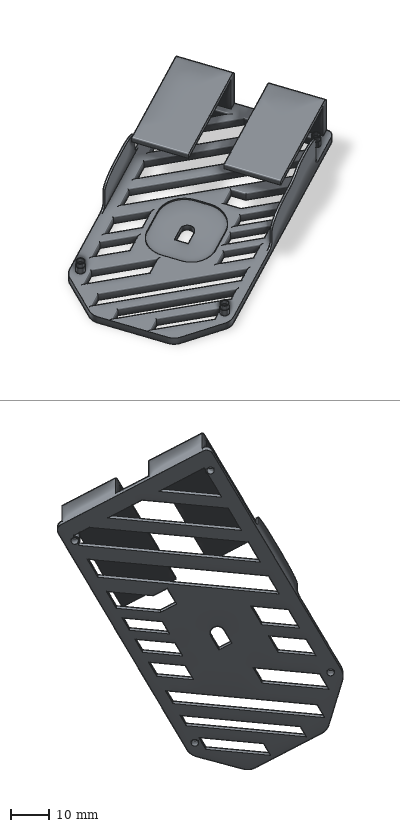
import cadquery as cq
import math

width = 46.0
length = 84.0
plate_height = 2.35
front_clip = 11.4
front_radius = 4.2
back_radius = 1.85

total_height = 15.0
clip_width = 16.0
clip_gap = 9.9
clip_reach = 32.4
post_depth = 2.35
arm_thickness = 1.5
clip_bend_radius = 1.85
arm_tip_radius = 0.5

wall_thickness = 0.6
wall_foot_radius = 2.0
low_wall_top = 12.0
high_wall_top = 14.1
left_wall_back = 57.9
left_wall_front = 36.6
left_round_length = 8.0
left_round_drop = 3.2
right_wall_back = 71.2
right_wall_front = 40.3
right_back_round_length = 6.1
right_back_round_drop = 2.3
right_front_round_length = 9.7
right_front_round_drop = 4.1
right_step_back = 61.9
right_step_front = 53.3

pin_x = 20.25
pin_front_y = 13.8
pin_back_y = 78.3
pin_base_diameter = 2.6
pin_tip_diameter = 2.35
pin_bore_diameter = 1.9
pin_shoulder_z = 4.4
pin_top_z = 5.9

pad_x = 0.25
pad_front = 26.6
pad_width = 19.1
pad_length = 21.6
pad_front_radius = 6.7
pad_back_radius = 7.6
pad_depth = 0.5
arch_width = 3.9
arch_front = 33.4
arch_length = 6.1

slot_angle = 34.7
slot_slope = math.tan(math.radians(slot_angle))
slot_rim_radius = 0.5
slot_left = -19.65
slot_right = 20.4
slot_back = 80.2
parallel_slots = [
    (slot_left, slot_right, 38.5, 7.0),
    (slot_left, -10.5, 27.55, 7.1),
    (slot_left, -10.5, 18.7, 6.5),
    (-18.1, -2.7, 8.9, 6.1),
    (-13.3, slot_right, 2.5, 5.3),
    (-6.5, slot_right, 0.2, 4.45),
    (4.2, 19.15, 0.2, 4.95),
    (10.75, slot_right, 42.6, 5.1),
    (10.75, slot_right, 35.5, 5.4),
    (11.5, slot_right, 28.4, 5.7),
]
corner_slot_low = 69.4
back_slot_low = 58.8
back_slot_high = 67.1
side_slot_low = 48.6
side_slot_high = 56.3
elbow_left = 5.1
elbow_front = 49.5
elbow_front_bend = 10.6
elbow_back = 55.4
elbow_back_bend = 9.7


def make_plate():
    plate = cq.Workplane().box(width, length, plate_height, centered=(True, False, False))
    plate = plate.edges("|Z and <Y").chamfer(front_clip)
    plate = plate.edges("|Z and (not >Y)").fillet(front_radius)
    return plate.edges("|Z and >Y").fillet(back_radius)


def make_clip(x_left):
    arm_bottom = total_height - arm_thickness
    tip = length - clip_reach
    inner = length - post_depth
    profile = [
        (length, 0),
        (length, total_height),
        (tip, total_height),
        (tip, arm_bottom),
        (inner, arm_bottom),
        (inner, 0),
    ]
    clip = cq.Workplane("YZ", origin=(x_left, 0, 0)).polyline(profile).close().extrude(clip_width)
    clip = clip.edges(">Y and >Z").fillet(clip_bend_radius)
    return clip.edges("<Y and >Z").fillet(arm_tip_radius)


def start_wall(x_left, y_back):
    """Outline from the back foot of a wall up to the start of its straight back edge."""
    wall = cq.Workplane("YZ", origin=(x_left, 0, 0))
    wall = wall.moveTo(y_back + wall_foot_radius, plate_height)
    return wall.radiusArc((y_back, plate_height + wall_foot_radius), wall_foot_radius)


def round_back(wall, round_length, drop):
    return wall.ellipseArc(round_length, drop, 0, 90, startAtCurrent=True)


def round_front(wall, round_length, drop):
    return wall.ellipseArc(round_length, drop, 90, 180, startAtCurrent=True)


def finish_wall(wall, y_back, y_front):
    """Front edge and foot, then down through the plate so that the wall is rooted in it."""
    wall = wall.lineTo(y_front, plate_height + wall_foot_radius)
    wall = wall.radiusArc((y_front - wall_foot_radius, plate_height), wall_foot_radius)
    wall = wall.lineTo(y_front - wall_foot_radius, 0)
    return wall.lineTo(y_back + wall_foot_radius, 0).close().extrude(wall_thickness)


def make_left_wall():
    wall = start_wall(-width / 2, left_wall_back)
    wall = wall.lineTo(left_wall_back, low_wall_top - left_round_drop)
    wall = round_back(wall, left_round_length, left_round_drop)
    wall = wall.lineTo(left_wall_front + left_round_length, low_wall_top)
    wall = round_front(wall, left_round_length, left_round_drop)
    return finish_wall(wall, left_wall_back, left_wall_front)


def make_right_wall():
    step_middle = ((right_step_back + right_step_front) / 2, (high_wall_top + low_wall_top) / 2)
    wall = start_wall(width / 2 - wall_thickness, right_wall_back)
    wall = wall.lineTo(right_wall_back, high_wall_top - right_back_round_drop)
    wall = round_back(wall, right_back_round_length, right_back_round_drop)
    wall = wall.lineTo(right_step_back, high_wall_top)
    wall = wall.tangentArcPoint(step_middle, relative=False)
    wall = wall.tangentArcPoint((right_step_front, low_wall_top), relative=False)
    wall = wall.lineTo(right_wall_front + right_front_round_length, low_wall_top)
    wall = round_front(wall, right_front_round_length, right_front_round_drop)
    return finish_wall(wall, right_wall_back, right_wall_front)


def make_pins(places):
    base = cq.Workplane().pushPoints(places).circle(pin_base_diameter / 2).extrude(pin_shoulder_z)
    tip = cq.Workplane().pushPoints(places).circle(pin_tip_diameter / 2).extrude(pin_top_z)
    return base.union(tip)


def rise(x_start, x_end):
    return slot_slope * (x_end - x_start)


def parallel_outline(left, right, low, height):
    climb = rise(left, right)
    return [(left, low), (right, low + climb), (right, low + climb + height), (left, low + height)]


def x_at_back(y_left):
    """X where a slanted edge that starts at the left border meets the back border."""
    return slot_left + (slot_back - y_left) / slot_slope


def slot_outlines():
    outlines = [parallel_outline(*slot) for slot in parallel_slots]
    corner = [
        (slot_left, corner_slot_low),
        (x_at_back(corner_slot_low), slot_back),
        (slot_left, slot_back),
    ]
    back = [
        (slot_left, back_slot_low),
        (x_at_back(back_slot_low), slot_back),
        (x_at_back(back_slot_high), slot_back),
        (slot_left, back_slot_high),
    ]
    side = [
        (slot_left, side_slot_low),
        (slot_right, side_slot_low + rise(slot_left, slot_right)),
        (slot_right, slot_back),
        (x_at_back(side_slot_high), slot_back),
        (slot_left, side_slot_high),
    ]
    elbow = [
        (elbow_left, elbow_front),
        (elbow_front_bend, elbow_front),
        (slot_right, elbow_front + rise(elbow_front_bend, slot_right)),
        (slot_right, elbow_back + rise(elbow_back_bend, slot_right)),
        (elbow_back_bend, elbow_back),
        (elbow_left, elbow_back),
    ]
    return outlines + [corner, back, side, elbow]


def cut_slots(plate):
    for outline in slot_outlines():
        slot = cq.Workplane().polyline(outline).close().offset2D(-slot_rim_radius, "intersection")
        plate = plate.cut(slot.extrude(plate_height))
    top_face = plate.faces(">Z").val()
    rim_edges = [edge for wire in top_face.innerWires() for edge in wire.Edges()]
    return cq.Workplane(plate.val().fillet(slot_rim_radius, rim_edges))


def pad_cutter():
    pad_middle = pad_front + pad_length / 2
    pad = cq.Workplane("XY", origin=(pad_x, pad_middle, plate_height)).rect(pad_width, pad_length)
    pad = pad.extrude(-pad_depth).edges("|Z and <Y").fillet(pad_front_radius)
    pad = pad.edges("|Z and >Y").fillet(pad_back_radius)
    arch_radius = arch_width / 2
    shoulder = arch_length - arch_radius
    arch = cq.Workplane("XY", origin=(pad_x, arch_front, 0)).moveTo(-arch_radius, 0).lineTo(arch_radius, 0)
    arch = arch.lineTo(arch_radius, shoulder).threePointArc((0, arch_length), (-arch_radius, shoulder))
    return pad.union(arch.close().extrude(plate_height))


pin_places = [(x, y) for x in (-pin_x, pin_x) for y in (pin_front_y, pin_back_y)]

result = cut_slots(make_plate())
result = result.cut(pad_cutter())
for clip_left in (-clip_gap / 2 - clip_width, clip_gap / 2):
    result = result.union(make_clip(clip_left))
result = result.union(make_left_wall()).union(make_right_wall())
result = result.union(make_pins(pin_places))
pin_bores = cq.Workplane().pushPoints(pin_places).circle(pin_bore_diameter / 2).extrude(pin_top_z)
result = result.cut(pin_bores)